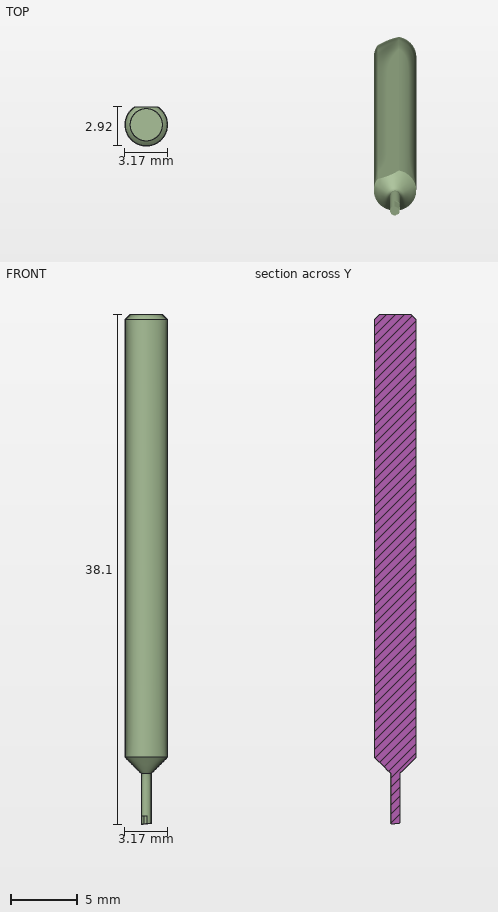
import cadquery as cq
import math

overall_length = 38.1
shank_diameter = 3.175
shank_radius = shank_diameter / 2
shank_flat_depth = 0.255
back_chamfer = 0.381

neck_diameter = 0.75
neck_radius = neck_diameter / 2
neck_length = 3.81
cone_height = shank_radius - neck_radius
shank_start = neck_length + cone_height

flute_length = 1.3
flute_angle = 37
relief_length = 0.62
relief_radius = 0.82
relief_start_angle = 18
relief_end_angle = 45
heel_x = 0.06
end_clearance_angle = 6


def make_body():
    """Revolved shank, cone and neck about the Z axis, tip end at z = 0."""
    profile = (
        cq.Workplane("XZ")
        .polyline([
            (0, 0),
            (neck_radius, 0),
            (neck_radius, neck_length),
            (shank_radius, shank_start),
            (shank_radius, overall_length - back_chamfer),
            (shank_radius - back_chamfer, overall_length),
            (0, overall_length),
        ])
        .close()
    )
    return profile.revolve(360, (0, 0, 0), (0, 1, 0))


def make_shank_flat():
    """Slab that leaves a flat along the +Y side of the shank."""
    return (
        cq.Workplane("XY")
        .box(shank_diameter, shank_diameter, overall_length, centered=(True, False, False))
        .translate((0, shank_radius - shank_flat_depth, 0))
    )


def make_flute():
    """Flat flute on the (-X, +Y) side that starts at the cutting edge."""
    return (
        cq.Workplane("XY")
        .box(neck_diameter, 2 * neck_diameter, flute_length, centered=(False, True, False))
        .translate((-neck_diameter, 0, 0))
        .rotate((0, 0, 0), (0, 0, 1), -flute_angle)
        .translate((-neck_radius, 0, 0))
    )


def relief_point(angle):
    """Point of the curved relief where its normal is turned by angle from -X towards -Y."""
    start = math.radians(relief_start_angle)
    turned = math.radians(angle)
    return (
        -neck_radius + relief_radius * (math.cos(start) - math.cos(turned)),
        -relief_radius * (math.sin(turned) - math.sin(start)),
    )


def make_relief():
    """Clearance behind the cutting edge: a curved land, then a flat up to the heel wall."""
    land_end = relief_point(relief_end_angle)
    return (
        cq.Workplane("XY")
        .moveTo(-neck_radius, 0)
        .threePointArc(relief_point((relief_start_angle + relief_end_angle) / 2), land_end)
        .lineTo(heel_x, land_end[1])
        .lineTo(heel_x, -neck_diameter)
        .lineTo(-neck_diameter, -neck_diameter)
        .lineTo(-neck_diameter, 0)
        .close()
        .extrude(relief_length)
    )


def make_end_clearance():
    """Wedge that slopes the end face up from the cutting corner towards +X."""
    rise = neck_diameter * math.tan(math.radians(end_clearance_angle))
    return (
        cq.Workplane("XZ")
        .polyline([(-neck_radius, 0), (neck_radius, 0), (neck_radius, rise)])
        .close()
        .extrude(neck_radius, both=True)
    )


result = make_body()
for cutter in (make_shank_flat(), make_flute(), make_relief(), make_end_clearance()):
    result = result.cut(cutter)